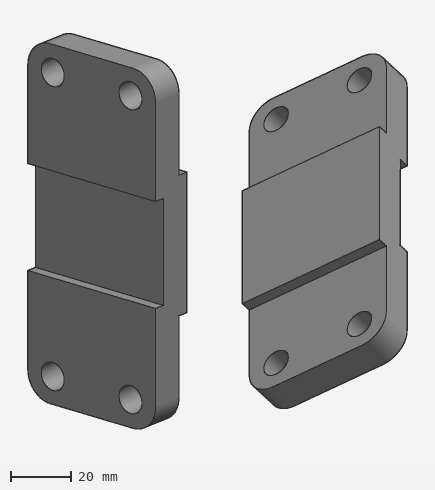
import cadquery as cq

width = 56.0
thickness = 16.0
height = 128.0

step_depth = 4.0
channel_height = 38.0
pad_height = 50.0
plate_thickness = thickness - step_depth

corner_radius = 10.0
hole_diameter = 10.0
hole_spacing_x = 34.0
hole_spacing_z = 108.0

front_y = -thickness / 2
plate_back_y = front_y + plate_thickness


def cross_band(band_height, start_y):
    """Full-width block, one step deep, centred on the plate's height."""
    return (
        cq.Workplane("XY")
        .box(width, step_depth, band_height, centered=(True, False, True))
        .translate((0, start_y, 0))
    )


plate = (
    cq.Workplane("XY")
    .box(width, plate_thickness, height, centered=(True, False, True))
    .translate((0, front_y, 0))
    .edges("|Y")
    .fillet(corner_radius)
)

holes = (
    cq.Workplane("XZ", origin=(0, plate_back_y, 0))
    .rect(hole_spacing_x, hole_spacing_z, forConstruction=True)
    .vertices()
    .circle(hole_diameter / 2)
    .extrude(plate_thickness)
)

pad = cross_band(pad_height, plate_back_y)
channel = cross_band(channel_height, front_y)

result = plate.cut(holes).union(pad).cut(channel)